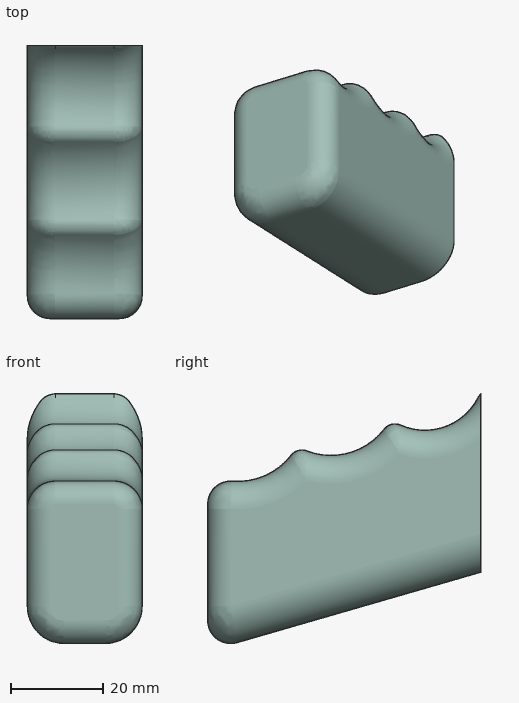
import cadquery as cq
import math

width = 25.0
length = 59.35
bottom_front_z = -1.8
bottom_slope = 0.289

front_groove = (6.6, 49.7, 14.6)
middle_groove = (26.75, 55.35, 14.6)
back_groove = (47.2, 59.15, 12.95)
outer_groove = (69.2, 67.7, 14.6)
grooves = [front_groove, middle_groove, back_groove, outer_groove]

bottom_round = 8.0
top_round = 6.1
front_round = 5.05
ridge_round = 2.95

rough_length = outer_groove[0]


def groove_floor(groove):
    """Lowest point of a groove as (Y, Z)."""
    y, z, radius = groove
    return y, z - radius


def ridge_between(first, second):
    """Lower crossing point of two neighbouring groove circles as (Y, Z)."""
    y1, z1, r1 = first
    y2, z2, r2 = second
    span = math.hypot(y2 - y1, z2 - z1)
    along = (span**2 + r1**2 - r2**2) / (2 * span)
    across = math.sqrt(r1**2 - along**2)
    unit_y = (y2 - y1) / span
    unit_z = (z2 - z1) / span
    y = y1 + along * unit_y + across * unit_z
    z = z1 + along * unit_z - across * unit_y
    return y, z


def arc_middle(groove, start, end):
    """Point on the groove circle halfway between two of its points."""
    y, z, radius = groove
    start_angle = math.atan2(start[1] - z, start[0] - y)
    end_angle = math.atan2(end[1] - z, end[0] - y)
    angle = (start_angle + end_angle) / 2
    return y + radius * math.cos(angle), z + radius * math.sin(angle)


ridges = [ridge_between(a, b) for a, b in zip(grooves, grooves[1:])]

front_top = (0, front_groove[1] - math.sqrt(front_groove[2]**2 - front_groove[0]**2))


def make_body():
    """Side profile in the YZ plane, extruded symmetrically across X."""
    start = front_top
    profile = cq.Workplane("YZ").moveTo(0, bottom_front_z).lineTo(*start)
    for groove, end in zip(grooves, ridges + [groove_floor(outer_groove)]):
        profile = profile.threePointArc(arc_middle(groove, start, end), end)
        start = end
    profile = profile.lineTo(rough_length, bottom_front_z + bottom_slope * rough_length).close()
    return profile.extrude(width / 2, both=True)


def edges_near(ridge):
    """Selector for the edges centred close to a ridge, including its bent ends."""
    y, z = ridge
    reach_y = top_round / 2
    reach_z = top_round
    return cq.selectors.BoxSelector(
        (-width, y - reach_y, z - reach_z), (width, y + reach_y, z + reach_z)
    )


def round_long_edges(body):
    """Round the underside edges, then the grooved top edges, on both sides."""
    underside = body.faces("<X or >X").edges("%LINE").edges("not |Z")
    body = underside.fillet(bottom_round)
    top = body.faces("<X or >X").edges("%CIRCLE")
    return top.fillet(top_round)


body = round_long_edges(make_body())
for ridge in ridges:
    body = body.edges(edges_near(ridge)).fillet(ridge_round)
body = body.faces("<Y").edges().fillet(front_round)
trim_reach = 4 * length
trim = cq.Workplane("XY").box(width, length, trim_reach, centered=(True, False, True))
result = body.intersect(trim)